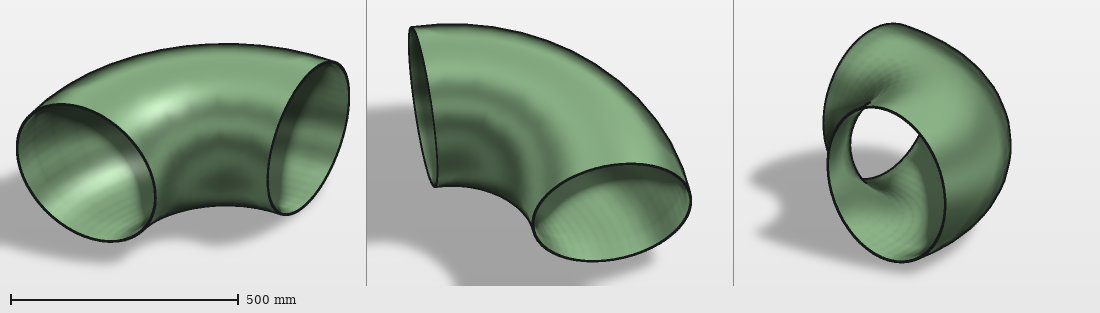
import cadquery as cq

overall_size = 534.0
outer_diameter = 355.5
wall = 3.0
bend_angle = 90.0

outer_radius = outer_diameter / 2
inner_radius = outer_radius - wall
bend_radius = overall_size - outer_radius

pipe_ring = (
    cq.Workplane("XZ")
    .center(-bend_radius, 0)
    .circle(outer_radius)
    .circle(inner_radius)
)
axis_start = (bend_radius, 0, 0)
axis_end = (bend_radius, -1, 0)

result = pipe_ring.revolve(bend_angle, axis_start, axis_end)